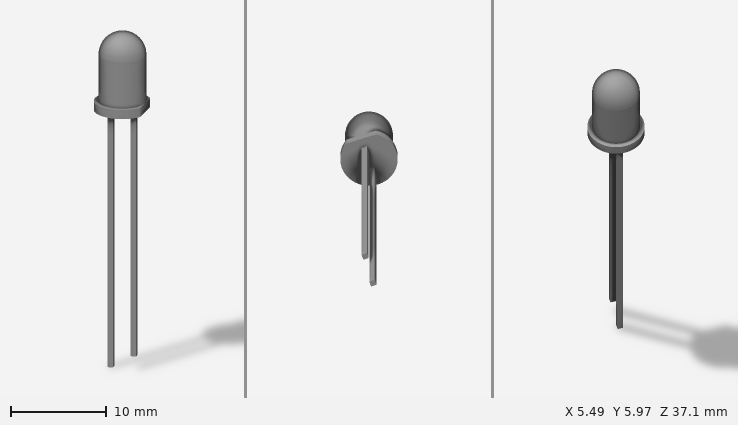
import cadquery as cq

overall_height = 37.1
lens_diameter = 5.0
lens_height = 8.6
flange_diameter = 5.97
flange_height = 1.0
lead_width = 0.6
lead_pitch = 2.52
lead_length_difference = 1.5

lens_radius = lens_diameter / 2
flange_radius = flange_diameter / 2
dome_base = lens_height - lens_radius
long_lead_length = overall_height - lens_height
short_lead_length = long_lead_length - lead_length_difference


def make_flange():
    """Round flange with a flat on +X, tangent to the lens barrel."""
    disc = cq.Workplane("XY").circle(flange_radius).extrude(flange_height)
    flat_trim = (
        cq.Workplane("XY")
        .box(flange_diameter, flange_diameter, flange_height, centered=(False, True, False))
        .translate((lens_radius, 0, 0))
    )
    return disc.cut(flat_trim)


def make_barrel():
    """Cylindrical barrel closed by a hemispherical dome."""
    half_chord = lens_radius * 0.5 ** 0.5
    return (
        cq.Workplane("XZ")
        .lineTo(lens_radius, 0)
        .lineTo(lens_radius, dome_base)
        .threePointArc((half_chord, dome_base + half_chord), (0, lens_height))
        .close()
        .revolve(360, (0, 0, 0), (0, 1, 0))
    )


def make_lens():
    """LED lens: domed barrel and flange as one solid."""
    return make_barrel().union(make_flange())


def make_lead(x_position, length):
    """Square lead hanging from the underside of the flange."""
    return (
        cq.Workplane("XY")
        .center(x_position, 0)
        .rect(lead_width, lead_width)
        .extrude(-length)
    )


lens = make_lens()

lead_layout = [
    (-lead_pitch / 2, long_lead_length),
    (lead_pitch / 2, short_lead_length),
]
leads = [make_lead(x_position, length) for x_position, length in lead_layout]

result = cq.Compound.makeCompound([lens.val(), *[lead.val() for lead in leads]])